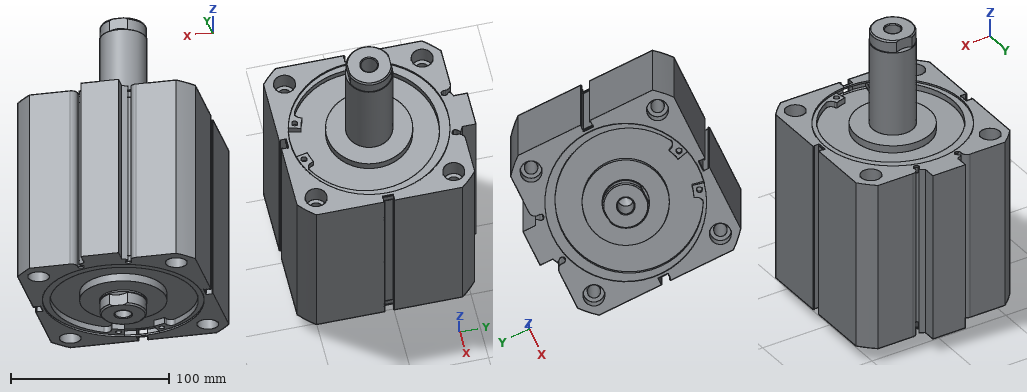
import cadquery as cq
import math

total_length = 202.5
body_width = 115.0
body_bottom = 10.0
body_top = 132.2
body_height = body_top - body_bottom
body_middle = (body_bottom + body_top) / 2
half_width = body_width / 2

corner_cut = 10.1
corner_radius = math.hypot(half_width, half_width - corner_cut)

bore_radius = 51.0
ring_inset = 1.2
ring_thickness = 4.0
ring_radius = 53.3

bolt_offset = 44.5
bolt_radius = 4.3
bolt_counterbore_radius = 6.9
bolt_counterbore_depth = 12.2

slot_depth = 4.7
slot_width = 6.9
slot_mouth_width = 5.5
slot_lip = 0.8
slot_mouth_chamfer = 0.5

rail_height = 9.0
rail_half_width = 12.2
rail_flare = (15.8, 55.7)
channel_center = (15.4, 52.2)
channel_radius = 1.92
channel_lip_radius = 4.0

ring_bore_radius = 46.8
ring_bore_shift = 2.5
tab_inner_radius = 43.1
tab_start_angle = 12.8
tab_end_angle = 23.3
tab_hole_angle = 17.3
tab_hole_orbit = 47.2
tab_hole_radius = 1.8
tab_fillet = 3.6
ring_turn = 0.8

cover_thickness = 16.2
boss_radius = 27.5
boss_height = 5.3

rod_radius = 15.0
rod_tip_step = 0.3
rod_tip_radius = rod_radius - rod_tip_step
rod_shoulder_inset = 7.3
rod_shoulder_chamfer = 1.52
rod_flat_offset = rod_radius - rod_shoulder_chamfer
rod_tip_chamfer_length = 1.2
rod_tip_chamfer_inset = 0.8
socket_radius = 5.3
socket_depth = 24.3
socket_countersink = 0.6
drill_point_half_angle = 59.0


def cylinder(radius, bottom, top):
    return cq.Workplane("XY", origin=(0, 0, bottom)).circle(radius).extrude(top - bottom)


def at_both_ends(part):
    """Return the part made for the housing's upper end and its mirror image at the lower end."""
    return [part, part.mirror("XY", (0, 0, body_middle))]


def body_block():
    square = (
        cq.Workplane("XY", origin=(0, 0, body_bottom))
        .rect(body_width, body_width)
        .extrude(body_height)
    )
    return square.intersect(cylinder(corner_radius, body_bottom, body_top))


def sensor_slot():
    """T-slot in the -Y side."""
    floor = -half_width + slot_depth
    lip = -half_width + slot_lip
    profile = [
        (slot_mouth_width / 2 + slot_mouth_chamfer, -half_width),
        (slot_mouth_width / 2, -half_width + slot_mouth_chamfer),
        (slot_mouth_width / 2, lip),
        (slot_width / 2, lip),
        (slot_width / 2, floor),
    ]
    mirrored = [(-x, y) for x, y in reversed(profile)]
    return (
        cq.Workplane("XY", origin=(0, 0, body_bottom))
        .polyline(profile + mirrored)
        .close()
        .extrude(body_height)
    )


def rail():
    return (
        cq.Workplane("XY", origin=(0, half_width, body_bottom))
        .rect(2 * rail_half_width, 2 * rail_height)
        .extrude(body_height)
    )


def rail_channel():
    """Undercut channel along the +X flank of the rail."""
    center_x, center_y = channel_center
    outer_x = center_x + channel_radius
    lip_end_x = outer_x + channel_lip_radius
    lip_start_y = half_width - channel_lip_radius
    lip_mid = channel_lip_radius * math.sqrt(0.5)
    entry_x = center_x - channel_radius * math.sqrt(0.5)
    entry_y = center_y + channel_radius * math.sqrt(0.5)
    return (
        cq.Workplane("XY", origin=(0, 0, body_bottom))
        .moveTo(rail_half_width, half_width)
        .lineTo(*rail_flare)
        .lineTo(entry_x, entry_y)
        .threePointArc((center_x, center_y - channel_radius), (outer_x, center_y))
        .lineTo(outer_x, lip_start_y)
        .threePointArc((lip_end_x - lip_mid, lip_start_y + lip_mid), (lip_end_x, half_width))
        .close()
        .extrude(body_height)
    )


def bolt_holes():
    def at_corners(radius, bottom, height):
        return (
            cq.Workplane("XY", origin=(0, 0, bottom))
            .rect(2 * bolt_offset, 2 * bolt_offset, forConstruction=True)
            .vertices()
            .circle(radius)
            .extrude(height)
        )

    holes = at_corners(bolt_radius, body_bottom, body_height)
    upper = at_corners(
        bolt_counterbore_radius, body_top - bolt_counterbore_depth, bolt_counterbore_depth
    )
    for counterbores in at_both_ends(upper):
        holes = holes.union(counterbores)
    return holes


def make_housing():
    channel = rail_channel()
    housing = body_block().union(rail()).cut(channel).cut(channel.mirror("YZ"))
    for angle in (0, 90, -90):
        housing = housing.cut(sensor_slot().rotate((0, 0, 0), (0, 0, 1), angle))
    housing = housing.cut(bolt_holes()).cut(cylinder(bore_radius, body_bottom, body_top))
    ring_top = body_top - ring_inset
    for groove in at_both_ends(cylinder(ring_radius, ring_top - ring_thickness, ring_top)):
        housing = housing.cut(groove)
    return housing


def polar(radius, angle):
    """Point at a radius, turned by an angle in degrees from -Y towards +X."""
    turn = math.radians(angle)
    return (radius * math.sin(turn), -radius * math.cos(turn))


def make_ring():
    """Retaining ring of the upper end, open towards -Y between its two tabs."""
    ring_top = body_top - ring_inset
    ring_bottom = ring_top - ring_thickness
    bore = cylinder(ring_bore_radius, ring_bottom, ring_top).translate((0, -ring_bore_shift, 0))
    blank = cylinder(ring_radius, ring_bottom, ring_top)
    ears = blank.cut(cylinder(tab_inner_radius, ring_bottom, ring_top))

    def wedge(half_angle):
        reach = 2 * ring_radius
        return (
            cq.Workplane("XY", origin=(0, 0, ring_bottom))
            .polyline([(0, 0), polar(reach, -half_angle), polar(reach, half_angle)])
            .close()
            .extrude(ring_thickness)
        )

    ring = blank.cut(bore).union(ears.intersect(wedge(tab_end_angle)))
    shift_across, shift_along = polar(ring_bore_shift, tab_end_angle)
    corner_orbit = math.sqrt(ring_bore_radius**2 - shift_across**2) - shift_along
    for angle in (-tab_end_angle, tab_end_angle):
        x, y = polar(corner_orbit, angle)
        corner = cq.selectors.NearestToPointSelector((x, y, ring_bottom + ring_thickness / 2))
        ring = ring.edges("|Z").edges(corner).fillet(tab_fillet)
    ring = ring.cut(wedge(tab_start_angle))
    for angle in (-tab_hole_angle, tab_hole_angle):
        hole = cylinder(tab_hole_radius, ring_bottom, ring_top)
        ring = ring.cut(hole.translate((*polar(tab_hole_orbit, angle), 0)))
    return ring.rotate((0, 0, 0), (0, 0, 1), -ring_turn)


def make_cover():
    """Cover of the upper end, held in the bore by the ring."""
    cover_top = body_top - ring_inset - ring_thickness
    cover_bottom = cover_top - cover_thickness
    plate = cylinder(bore_radius, cover_bottom, cover_top)
    boss = cylinder(boss_radius, cover_top, cover_top + boss_height)
    return plate.union(boss).cut(cylinder(rod_radius, cover_bottom, cover_top + boss_height))


def rod_core():
    """Full-length core with chamfered end faces and wrench flats on the -Y and +Y sides."""
    straight_top = total_length - rod_tip_chamfer_length
    end_radius = rod_tip_radius - rod_tip_chamfer_inset
    core = (
        cq.Workplane("XZ")
        .polyline([
            (0, 0),
            (end_radius, 0),
            (rod_tip_radius, rod_tip_chamfer_length),
            (rod_tip_radius, straight_top),
            (end_radius, total_length),
            (0, total_length),
        ])
        .close()
        .revolve(360, (0, 0, 0), (0, 1, 0))
    )
    between_flats = (
        cq.Workplane("XY").rect(2 * rod_radius, 2 * rod_flat_offset).extrude(total_length)
    )
    return core.intersect(between_flats)


def rod_shaft():
    """Full-diameter length, chamfered at both ends down to the flats."""
    shaft = cylinder(rod_radius, rod_shoulder_inset, total_length - rod_shoulder_inset)
    return shaft.faces("<Z or >Z").chamfer(rod_shoulder_chamfer)


def rod_socket():
    """Countersunk blind hole with a drill point, in the upper end."""
    straight_end = total_length - socket_depth
    point_end = straight_end - socket_radius / math.tan(math.radians(drill_point_half_angle))
    return (
        cq.Workplane("XZ")
        .polyline([
            (0, total_length),
            (socket_radius + socket_countersink, total_length),
            (socket_radius, total_length - socket_countersink),
            (socket_radius, straight_end),
            (0, point_end),
        ])
        .close()
        .revolve(360, (0, 0, 0), (0, 1, 0))
    )


def make_rod():
    upper_socket = rod_socket()
    lower_socket = upper_socket.mirror("XY", (0, 0, total_length / 2))
    return rod_shaft().union(rod_core()).cut(upper_socket).cut(lower_socket)


housing = make_housing()
rod = make_rod()
covers = at_both_ends(make_cover())
rings = at_both_ends(make_ring())

result = cq.Compound.makeCompound(
    [
        housing.val(),
        rod.val(),
        *[cover.val() for cover in covers],
        *[ring.val() for ring in rings],
    ]
)